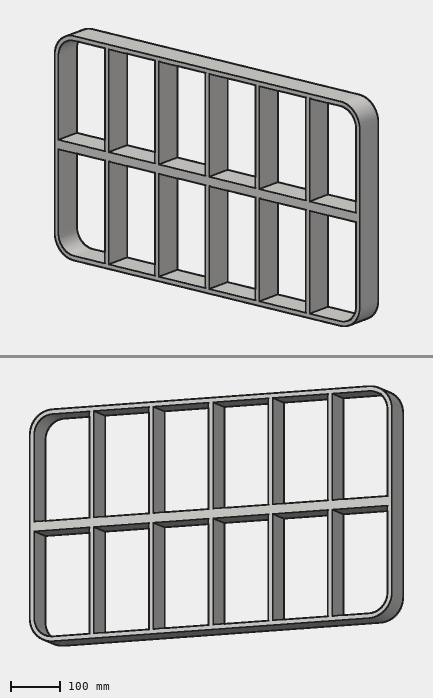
import cadquery as cq

length = 793.0
depth = 60.0
height = 476.0

wall = 10.0
corner_radius = 50.0
shelf_thickness = 20.0
divider_thickness = 10.0
columns = 6

inner_length = length - 2 * wall
inner_height = height - 2 * wall
inner_radius = corner_radius - wall
cell_width = (inner_length - (columns - 1) * divider_thickness) / columns
divider_pitch = cell_width + divider_thickness


def rounded_slab(slab_length, slab_height, radius):
    """Rectangular slab centred on the origin, with its edges along Y rounded."""
    return cq.Workplane("XY").box(slab_length, depth, slab_height).edges("|Y").fillet(radius)


def outer_frame():
    """Rounded rectangular ring, open at the front and back."""
    opening = rounded_slab(inner_length, inner_height, inner_radius)
    return rounded_slab(length, height, corner_radius).cut(opening)


def shelf():
    """Horizontal bar at mid-height, reaching into both side walls."""
    return cq.Workplane("XY").box(length - wall, depth, shelf_thickness)


def divider(x):
    """Upright bar at x, reaching into the top and bottom walls."""
    return cq.Workplane("XY").box(divider_thickness, depth, height - wall).translate((x, 0, 0))


result = outer_frame().union(shelf())
for index in range(1, columns):
    divider_x = (index - columns / 2) * divider_pitch
    result = result.union(divider(divider_x))